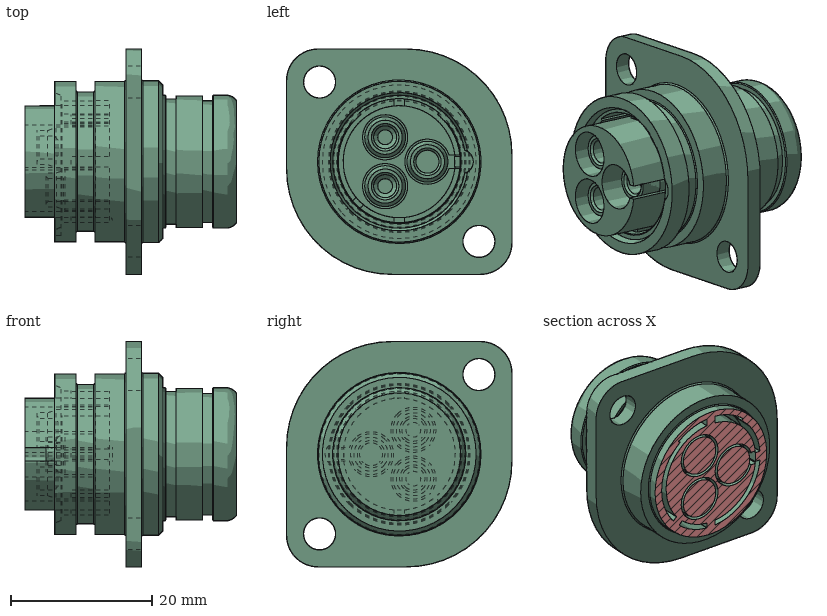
import cadquery as cq
import math

TOTAL_LENGTH = 30.0

FLANGE_SIDE = 32.0
FLANGE_FRONT = 14.3
FLANGE_BACK = 16.55
FLANGE_LARGE_RADIUS = 15.0
FLANGE_SMALL_RADIUS = 4.5
MOUNT_HOLE_DIAMETER = 4.5
MOUNT_HOLE_OFFSET = 11.3

SHELL_FRONT = 4.2
SHELL_RADIUS = 11.4
SEAL_GROOVE_FRONT = 7.27
SEAL_GROOVE_BACK = 9.9
SEAL_GROOVE_RADIUS = 9.9
GROOVE_CORNER = 0.15
FLANGE_FLARE = 0.2

REAR_SHELL_RADIUS = 11.5
REAR_SHELL_BACK = 19.55
REAR_SHELL_CHAMFER = 0.6
COLLAR_RADIUS = 9.45
COLLAR_BACK = 20.0
COLLAR_CHAMFER = 0.15
NECK_RADIUS = 8.9
BAND_FRONT = 21.45
BAND_BACK = 25.2
BAND_RADIUS = 9.35
REAR_GROOVE_RADIUS = 8.65
END_RING_FRONT = 26.6
END_RING_CHAMFER = 0.15
END_RING_CROWN = 28.77
END_FACE_RADIUS = 8.7
END_ROUND_BULGE = 0.15

CAVITY_MOUTH_RADIUS = 9.8
CAVITY_ENTRY_RADIUS = 9.42
CAVITY_LEAD_IN = 0.9
CAVITY_SHELF = SHELL_FRONT + CAVITY_LEAD_IN
CAVITY_RADIUS = 8.65
CAVITY_SHELF_CHAMFER = 0.12
CAVITY_FLOOR = 12.0

RIB_WIDTH = 1.5
RIB_FRONT = 6.5
RIB_OVERLAP = 0.1
RIB_ANGLES = (90, 180, 270, 315)
TOP_RIB_ANGLE = 90
TOP_RIB_RADIUS = 9.0
RELIEF_RADIUS = 8.95
RELIEF_START_ANGLE = 45
RELIEF_END_ANGLE = 135
TAB_LENGTH = 1.85
TAB_INNER_RADIUS = 8.6

KEYWAY_RADIUS = 1.7
KEYWAY_CENTRE = 8.8

INSERT_RADIUS = 7.95
SLOT_WIDTH = 1.93
SLOT_POCKET_RADIUS = 0.38

CONTACT_CIRCLE_RADIUS = 4.0
CONTACT_ANGLES = (60, 180, 300)
CLOSED_CONTACT_ANGLE = 180
CONTACT_HOLE_RADIUS = 3.2
CONTACT_HOLE_DEPTH = 10.0
SLEEVE_FRONT = 1.7
CLOSED_SLEEVE_FRONT = 2.95
SLEEVE_RADIUS = 2.9
SLEEVE_NOSE_RADIUS = 2.42
SLEEVE_NOSE_LENGTH = 1.5
SLEEVE_TAPER_LENGTH = 0.8
SLEEVE_SHOULDER_RADIUS = 2.69
SLEEVE_SHOULDER_LENGTH = 0.4
SOCKET_MOUTH_RADIUS = 1.95
SOCKET_RADIUS = 1.63
SOCKET_LEAD_IN = 0.3
SOCKET_DEPTH = 2.5
SOCKET_CONE_DEPTH = 0.5
SOCKET_FLOOR_RADIUS = 1.05


def revolve_about_x(outline):
    """Revolve a closed (x, radius) outline about the X axis."""
    return outline.close().revolve(360, (0, 0, 0), (1, 0, 0))


def cylinder(front, back, radius, y=0.0, z=0.0):
    return cq.Workplane("YZ", origin=(front, y, z)).circle(radius).extrude(back - front)


def box(x_range, y_range, z_range):
    lengths = [high - low for low, high in (x_range, y_range, z_range)]
    corner = (x_range[0], y_range[0], z_range[0])
    return cq.Workplane("XY", origin=corner).box(*lengths, centered=False)


def radial_bar(front, back, inner, outer, width, angle):
    """Bar reaching outwards from the axis; the angle runs from +Y towards +Z."""
    bar = box((front, back), (inner, outer), (-width / 2, width / 2))
    return bar.rotate((0, 0, 0), (1, 0, 0), angle)


def make_shell():
    outline = (
        cq.Workplane("XY")
        .moveTo(SHELL_FRONT, 0)
        .lineTo(SHELL_FRONT, SHELL_RADIUS)
        .lineTo(SEAL_GROOVE_FRONT, SHELL_RADIUS)
        .lineTo(SEAL_GROOVE_FRONT, SEAL_GROOVE_RADIUS + GROOVE_CORNER)
        .lineTo(SEAL_GROOVE_FRONT + GROOVE_CORNER, SEAL_GROOVE_RADIUS)
        .lineTo(SEAL_GROOVE_BACK - GROOVE_CORNER, SEAL_GROOVE_RADIUS)
        .lineTo(SEAL_GROOVE_BACK, SEAL_GROOVE_RADIUS + GROOVE_CORNER)
        .lineTo(SEAL_GROOVE_BACK, SHELL_RADIUS)
        .lineTo(FLANGE_FRONT - FLANGE_FLARE, SHELL_RADIUS)
        .lineTo(FLANGE_FRONT, SHELL_RADIUS + FLANGE_FLARE)
        .lineTo(FLANGE_BACK, SHELL_RADIUS + FLANGE_FLARE)
        .lineTo(FLANGE_BACK + FLANGE_FLARE, REAR_SHELL_RADIUS)
        .lineTo(REAR_SHELL_BACK - REAR_SHELL_CHAMFER, REAR_SHELL_RADIUS)
        .lineTo(REAR_SHELL_BACK, REAR_SHELL_RADIUS - REAR_SHELL_CHAMFER)
        .lineTo(REAR_SHELL_BACK, COLLAR_RADIUS)
        .lineTo(COLLAR_BACK - COLLAR_CHAMFER, COLLAR_RADIUS)
        .lineTo(COLLAR_BACK, COLLAR_RADIUS - COLLAR_CHAMFER)
        .lineTo(COLLAR_BACK, NECK_RADIUS)
        .lineTo(BAND_FRONT, NECK_RADIUS)
        .lineTo(BAND_FRONT, BAND_RADIUS)
        .lineTo(BAND_BACK, BAND_RADIUS)
        .lineTo(BAND_BACK, REAR_GROOVE_RADIUS)
        .lineTo(END_RING_FRONT, REAR_GROOVE_RADIUS)
        .lineTo(END_RING_FRONT, COLLAR_RADIUS - END_RING_CHAMFER)
        .lineTo(END_RING_FRONT + END_RING_CHAMFER, COLLAR_RADIUS)
        .lineTo(END_RING_CROWN, COLLAR_RADIUS)
        .threePointArc(
            (
                (END_RING_CROWN + TOTAL_LENGTH) / 2,
                (COLLAR_RADIUS + END_FACE_RADIUS) / 2 + END_ROUND_BULGE,
            ),
            (TOTAL_LENGTH, END_FACE_RADIUS),
        )
        .lineTo(TOTAL_LENGTH, 0)
    )
    return revolve_about_x(outline)


def make_flange():
    """Square plate with two opposite small corners and two large ones."""
    thickness = FLANGE_BACK - FLANGE_FRONT
    plate = cq.Workplane("YZ", origin=(FLANGE_FRONT, 0, 0)).rect(FLANGE_SIDE, FLANGE_SIDE).extrude(thickness)
    middle = FLANGE_FRONT + thickness / 2
    half = FLANGE_SIDE / 2
    for side in (-1, 1):
        small_corner = cq.selectors.NearestToPointSelector((middle, side * half, side * half))
        plate = plate.edges("|X").edges(small_corner).fillet(FLANGE_SMALL_RADIUS)
    for side in (-1, 1):
        large_corner = cq.selectors.NearestToPointSelector((middle, side * half, -side * half))
        plate = plate.edges("|X").edges(large_corner).fillet(FLANGE_LARGE_RADIUS)
    return plate


def cut_mount_holes(body):
    for side in (-1, 1):
        offset = side * MOUNT_HOLE_OFFSET
        body = body.cut(cylinder(FLANGE_FRONT, FLANGE_BACK, MOUNT_HOLE_DIAMETER / 2, offset, offset))
    return body


def make_cavity():
    """Mating cavity: a lead-in cone down to a shelf, a narrower bore, a keyway and a relieved top."""
    outline = (
        cq.Workplane("XY")
        .moveTo(SHELL_FRONT, 0)
        .lineTo(SHELL_FRONT, CAVITY_MOUTH_RADIUS)
        .lineTo(CAVITY_SHELF, CAVITY_ENTRY_RADIUS)
        .lineTo(CAVITY_SHELF, CAVITY_RADIUS + CAVITY_SHELF_CHAMFER)
        .lineTo(CAVITY_SHELF + CAVITY_SHELF_CHAMFER, CAVITY_RADIUS)
        .lineTo(CAVITY_FLOOR, CAVITY_RADIUS)
        .lineTo(CAVITY_FLOOR, 0)
    )
    cavity = revolve_about_x(outline)
    keyway = cylinder(SHELL_FRONT, CAVITY_SHELF, KEYWAY_RADIUS, -KEYWAY_CENTRE)
    relief_sweep = RELIEF_END_ANGLE - RELIEF_START_ANGLE
    relief = (
        cq.Workplane("XY")
        .moveTo(CAVITY_SHELF, 0)
        .lineTo(CAVITY_SHELF, RELIEF_RADIUS)
        .lineTo(CAVITY_FLOOR, RELIEF_RADIUS)
        .lineTo(CAVITY_FLOOR, 0)
        .close()
        .revolve(relief_sweep, (0, 0, 0), (1, 0, 0))
        .rotate((0, 0, 0), (1, 0, 0), RELIEF_START_ANGLE)
    )
    return cavity.union(relief).union(keyway)


def make_ribs():
    """Coding ribs bridging insert and shell, and the tabs at both ends of the relieved sector."""
    rib_inner = INSERT_RADIUS - RIB_OVERLAP
    tab_outer = RELIEF_RADIUS + RIB_OVERLAP
    ribs = cq.Workplane("XY")
    for angle in RIB_ANGLES:
        outer = TOP_RIB_RADIUS if angle == TOP_RIB_ANGLE else CAVITY_RADIUS
        ribs = ribs.add(radial_bar(RIB_FRONT, CAVITY_FLOOR, rib_inner, outer, RIB_WIDTH, angle))
    for angle in (RELIEF_START_ANGLE, RELIEF_END_ANGLE):
        ribs = ribs.add(radial_bar(CAVITY_SHELF, CAVITY_FLOOR, TAB_INNER_RADIUS, tab_outer, TAB_LENGTH, angle))
    return ribs.combine()


def contact_position(angle):
    radians = math.radians(angle)
    return CONTACT_CIRCLE_RADIUS * math.cos(radians), CONTACT_CIRCLE_RADIUS * math.sin(radians)


def make_sleeve(angle):
    """Contact sleeve with a tapered nose and a blind socket."""
    is_closed = angle == CLOSED_CONTACT_ANGLE
    front = CLOSED_SLEEVE_FRONT if is_closed else SLEEVE_FRONT
    shoulder = front + SLEEVE_NOSE_LENGTH + SLEEVE_TAPER_LENGTH
    socket_floor = front + SOCKET_DEPTH
    outline = (
        cq.Workplane("XY")
        .moveTo(front, SOCKET_MOUTH_RADIUS)
        .lineTo(front, SLEEVE_NOSE_RADIUS)
        .lineTo(shoulder - SLEEVE_TAPER_LENGTH, SLEEVE_NOSE_RADIUS)
        .lineTo(shoulder, SLEEVE_SHOULDER_RADIUS)
        .lineTo(shoulder + SLEEVE_SHOULDER_LENGTH, SLEEVE_RADIUS)
        .lineTo(CAVITY_FLOOR, SLEEVE_RADIUS)
        .lineTo(CAVITY_FLOOR, 0)
    )
    if is_closed:
        outline = outline.lineTo(socket_floor, 0)
    else:
        cone_floor = socket_floor + SOCKET_CONE_DEPTH
        outline = outline.lineTo(cone_floor, 0).lineTo(cone_floor, SOCKET_FLOOR_RADIUS)
    outline = outline.lineTo(socket_floor, SOCKET_RADIUS).lineTo(front + SOCKET_LEAD_IN, SOCKET_RADIUS)
    y, z = contact_position(angle)
    return revolve_about_x(outline).translate((0, y, z))


def make_insert():
    """Insert with a polarising slot and three recessed contacts."""
    half_slot = SLOT_WIDTH / 2
    slot_contact_y = contact_position(CLOSED_CONTACT_ANGLE)[0]
    slot = box((0, CONTACT_HOLE_DEPTH), (-CAVITY_RADIUS, slot_contact_y), (-half_slot, half_slot))
    insert = cylinder(0, CAVITY_FLOOR, INSERT_RADIUS).cut(slot)
    for angle in CONTACT_ANGLES:
        y, z = contact_position(angle)
        insert = insert.cut(cylinder(0, CONTACT_HOLE_DEPTH, CONTACT_HOLE_RADIUS, y, z))
    for angle in CONTACT_ANGLES:
        y, z = contact_position(angle)
        sleeve = make_sleeve(angle)
        insert = insert.cut(cylinder(0, CAVITY_FLOOR, SLEEVE_RADIUS, y, z)).union(sleeve)
    return insert


def make_slot_pocket():
    """Half-round pocket in the cavity floor in line with the polarising slot."""
    pocket_y = -(CAVITY_RADIUS - SLOT_POCKET_RADIUS)
    return (
        cq.Workplane("XY", origin=(CAVITY_FLOOR, pocket_y, -SLOT_WIDTH / 2))
        .circle(SLOT_POCKET_RADIUS)
        .extrude(SLOT_WIDTH)
    )


shell = cut_mount_holes(make_shell().union(make_flange()))
shell = shell.cut(make_cavity()).cut(make_slot_pocket())
result = shell.union(make_insert()).union(make_ribs())